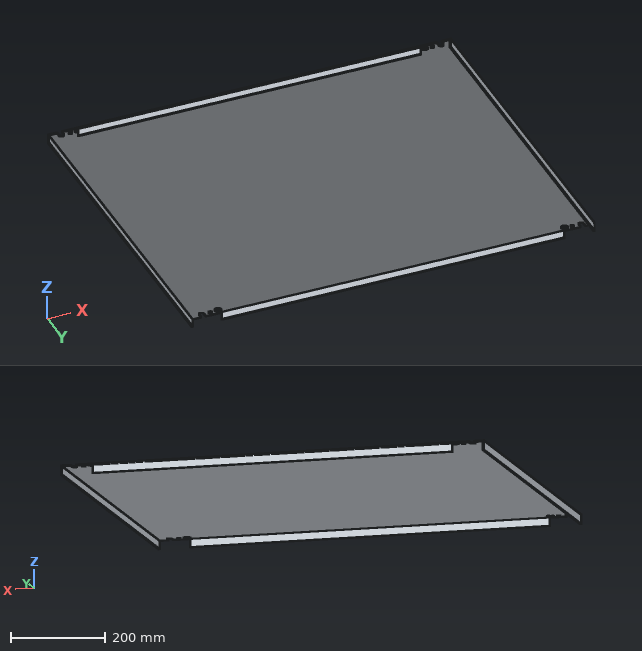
import cadquery as cq

panel_length = 930.0
panel_width = 770.0
panel_height = 20.0
sheet = 2.5
long_flange_inset = 70.0

notch_inset = 27.0
notch_width = 11.0
notch_depth = 16.0
hole_inset = 47.0
hole_row_inset = 10.0
hole_diameter = 7.0
counterbore_inset = 65.0
counterbore_diameter = 15.0
counterbore_depth = 1.0
counterbore_hole_diameter = 5.0


def box_on_floor(length, width, height):
    """Box centred in X and Y, standing on Z = 0."""
    return cq.Workplane("XY").box(length, width, height, centered=(True, True, False))


def folded_panel():
    """Plate with full-length end flanges and shorter flanges on the long sides."""
    cavity_height = panel_height - sheet
    end_channel = box_on_floor(panel_length, panel_width, panel_height).cut(
        box_on_floor(panel_length - 2 * sheet, panel_width, cavity_height)
    )
    long_flange_length = panel_length - 2 * long_flange_inset
    long_channel = box_on_floor(long_flange_length, panel_width, panel_height).cut(
        box_on_floor(long_flange_length, panel_width - 2 * sheet, cavity_height)
    )
    return end_channel.union(long_channel)


def top_face_at(end_inset, side_inset):
    """Workplane on the top face, placed from the +X +Y corner."""
    origin = (panel_length / 2 - end_inset, panel_width / 2 - side_inset, panel_height)
    return cq.Workplane("XY", origin=origin)


def notch_cutter():
    """Slot with a round inner end, open at the long side."""
    arc_inset = notch_depth - notch_width / 2
    round_end = top_face_at(notch_inset, arc_inset).circle(notch_width / 2).extrude(-sheet)
    mouth = top_face_at(notch_inset, arc_inset / 2).rect(notch_width, arc_inset).extrude(-sheet)
    return round_end.union(mouth)


def hole_cutter():
    """Plain hole through the sheet."""
    return top_face_at(hole_inset, hole_row_inset).circle(hole_diameter / 2).extrude(-sheet)


def counterbore_cutter():
    """Wide shallow recess with a narrow hole through the sheet."""
    centre = top_face_at(counterbore_inset, hole_row_inset)
    recess = centre.circle(counterbore_diameter / 2).extrude(-counterbore_depth)
    narrow_hole = centre.circle(counterbore_hole_diameter / 2).extrude(-sheet)
    return recess.union(narrow_hole)


corner_cutter = notch_cutter().union(hole_cutter()).union(counterbore_cutter())
end_cutter = corner_cutter.union(corner_cutter.mirror("XZ"))
result = folded_panel().cut(end_cutter).cut(end_cutter.mirror("YZ"))